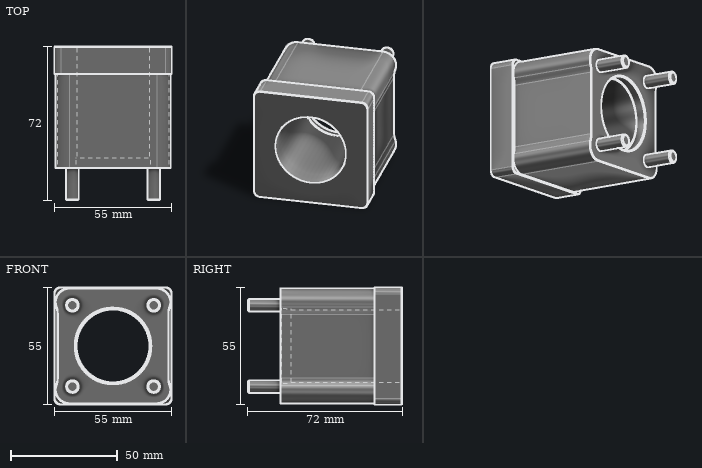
import cadquery as cq
import math

flange_side = 55.0
flange_thickness = 13.0
flange_corner_radius = 3.0
flange_edge_chamfer = 0.3

body_side = 54.0
body_length = 44.0
body_corner_radius = 6.5
body_edge_chamfer = 0.3
side_recess_depth = 1.0
recess_blend_radius = 10.0

bore_diameter = 34.0
counterbore_diameter = 35.0
counterbore_depth = 5.0
bore_mouth_chamfer = 0.5

pin_diameter = 6.0
pin_length = 15.0
pin_pitch = 38.0
pin_tip_chamfer = 0.6

body_back = body_length
flange_back = body_back + flange_thickness


def plane_at(y):
    """XZ sketch plane at the given Y whose positive extrusion runs toward +Y; local y is +Z."""
    return cq.Workplane(cq.Plane(origin=(0, y, 0), xDir=(-1, 0, 0), normal=(0, 1, 0)))


def make_flange():
    flange = plane_at(body_back).rect(flange_side, flange_side).extrude(flange_thickness)
    flange = flange.edges("|Y").fillet(flange_corner_radius)
    return flange.faces("<Y or >Y").chamfer(flange_edge_chamfer)


def add_corner(outline, side, level, upward):
    """Draw one body corner, side and level being its signs in x and z.

    The corner arc runs on past its tangent point and meets a concave arc that
    blends into the recessed flat side. The upward flag means drawing from the
    recessed side to the top or bottom face, otherwise the reverse.
    """
    half = body_side / 2
    center = half - body_corner_radius
    turn = math.acos(1 - side_recess_depth / (body_corner_radius + recess_blend_radius))
    blend_x = half - side_recess_depth + recess_blend_radius
    blend_z = center - (body_corner_radius + recess_blend_radius) * math.sin(turn)

    def corner_point(angle):
        x = center + body_corner_radius * math.cos(angle)
        z = center + body_corner_radius * math.sin(angle)
        return (side * x, level * z)

    def blend_point(angle):
        x = blend_x - recess_blend_radius * math.cos(angle)
        z = blend_z + recess_blend_radius * math.sin(angle)
        return (side * x, level * z)

    flat_end = blend_point(0)
    blend_middle = blend_point(turn / 2)
    inflection = corner_point(-turn)
    corner_middle = corner_point((math.pi / 2 - turn) / 2)
    face_end = corner_point(math.pi / 2)

    if upward:
        outline = outline.lineTo(*flat_end)
        outline = outline.threePointArc(blend_middle, inflection)
        return outline.threePointArc(corner_middle, face_end)
    outline = outline.lineTo(*face_end)
    outline = outline.threePointArc(corner_middle, inflection)
    return outline.threePointArc(blend_middle, flat_end)


def make_body():
    outline = plane_at(0).moveTo(body_side / 2 - side_recess_depth, 0)
    outline = add_corner(outline, 1, 1, True)
    outline = add_corner(outline, -1, 1, False)
    outline = add_corner(outline, -1, -1, True)
    outline = add_corner(outline, 1, -1, False)
    body = outline.close().extrude(body_length)
    return body.faces("<Y").chamfer(body_edge_chamfer)


def make_bore():
    bore = plane_at(0).circle(bore_diameter / 2).extrude(flange_back)
    counterbore = plane_at(0).circle(counterbore_diameter / 2).extrude(counterbore_depth)
    counterbore_radius = counterbore_diameter / 2
    mouth = cq.Workplane("XY").polyline([
        (0, 0),
        (counterbore_radius + bore_mouth_chamfer, 0),
        (counterbore_radius, bore_mouth_chamfer),
        (0, bore_mouth_chamfer),
    ]).close().revolve(360, (0, 0), (0, 1))
    return bore.union(counterbore).union(mouth)


def make_pins():
    pins = plane_at(-pin_length).rarray(pin_pitch, pin_pitch, 2, 2)
    pins = pins.circle(pin_diameter / 2).extrude(pin_length)
    pins = pins.faces("<Y").edges().chamfer(pin_tip_chamfer)
    return pins


result = make_body().union(make_flange()).cut(make_bore()).union(make_pins())